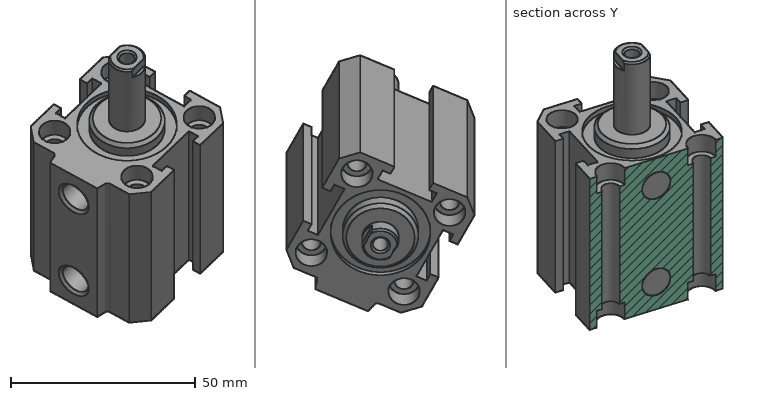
import cadquery as cq


BODY_WIDTH = 41.0
BODY_HEIGHT = 50.5
CORNER_CHAMFER = 4.3
HALF_WIDTH = BODY_WIDTH / 2

OVERALL_DEPTH = 44.5
BOSS_PROJECTION = OVERALL_DEPTH - BODY_WIDTH
BOSS_ROOT_HALF_WIDTH = 8.85
BOSS_FACE_HALF_WIDTH = 8.0
BOSS_ROOT_FILLET = 1.0
BOSS_FACE_Y = -HALF_WIDTH - BOSS_PROJECTION

SLOT_MOUTH_WIDTH = 11.7
SLOT_INNER_WIDTH = 16.4
SLOT_LIP = 2.5
SLOT_DEPTH = 5.6

MOUNT_HOLE_DIA = 5.3
MOUNT_HOLE_OFFSET = 14.0
COUNTERBORE_DIA = 8.5
COUNTERBORE_DEPTH = 5.6

RECESS_DIA = 27.1
RECESS_DEPTH = 1.6
COLLAR_DIA = 20.5
COLLAR_HEIGHT = 2.5
COLLAR_CHAMFER = 1.0

PORT_DIA = 8.6
PORT_MOUTH_CHAMFER = 0.8
PORT_DEPTH = 10.0
PORT_END_DISTANCE = 9.2

ROD_DIA = 10.0
ROD_LENGTH = 83.5
ROD_BOTTOM_EXTENSION = 6.5
ROD_BOTTOM_Z = -ROD_BOTTOM_EXTENSION
ROD_END_CHAMFER = 0.5
FLAT_WIDTH = 8.0
FLAT_LENGTH = 2.9
ROD_HOLE_DIA = 4.2
ROD_HOLE_MOUTH_DIA = 5.3
ROD_HOLE_MOUTH_ANGLE = 90
ROD_HOLE_DEPTH = 8.35


def both_ends(feature):
    """Return a bottom-end feature of the housing together with its mirror image at the top end."""
    top_copy = feature.mirror("XY").translate((0, 0, BODY_HEIGHT))
    return [feature, top_copy]


def main_block():
    return (
        cq.Workplane("XY")
        .rect(BODY_WIDTH, BODY_WIDTH)
        .extrude(BODY_HEIGHT)
        .edges("|Z")
        .chamfer(CORNER_CHAMFER)
    )


def add_boss(block):
    """Add the tapered port boss and round the two inside corners at its root."""
    boss = (
        cq.Workplane("XY")
        .moveTo(-BOSS_ROOT_HALF_WIDTH, -HALF_WIDTH)
        .lineTo(-BOSS_FACE_HALF_WIDTH, BOSS_FACE_Y)
        .lineTo(BOSS_FACE_HALF_WIDTH, BOSS_FACE_Y)
        .lineTo(BOSS_ROOT_HALF_WIDTH, -HALF_WIDTH)
        .lineTo(0, 0)
        .close()
        .extrude(BODY_HEIGHT)
    )
    margin = BOSS_ROOT_FILLET
    root_edges = cq.selectors.BoxSelector(
        (-BOSS_ROOT_HALF_WIDTH - margin, -HALF_WIDTH - margin, 0),
        (BOSS_ROOT_HALF_WIDTH + margin, -HALF_WIDTH + margin, BODY_HEIGHT),
    )
    return block.union(boss).edges("|Z").edges(root_edges).fillet(BOSS_ROOT_FILLET)


def t_slot():
    """T-slot cutter for the +Y side, running the full height."""
    mouth = cq.Workplane("XY").box(
        SLOT_MOUTH_WIDTH, SLOT_DEPTH, BODY_HEIGHT, centered=(True, False, False)
    )
    undercut = cq.Workplane("XY").box(
        SLOT_INNER_WIDTH, SLOT_DEPTH - SLOT_LIP, BODY_HEIGHT, centered=(True, False, False)
    )
    return mouth.union(undercut).translate((0, HALF_WIDTH - SLOT_DEPTH, 0))


def mounting_hole_pattern(diameter, depth):
    """Four corner cylinders rising from the bottom end face."""
    spacing = 2 * MOUNT_HOLE_OFFSET
    return (
        cq.Workplane("XY")
        .rect(spacing, spacing, forConstruction=True)
        .vertices()
        .circle(diameter / 2)
        .extrude(depth)
    )


def end_recess():
    """Round recess sunk into the bottom end face."""
    return cq.Workplane("XY").circle(RECESS_DIA / 2).extrude(RECESS_DEPTH)


def collar():
    """Collar standing on the recess floor and chamfered at its outer, lower end."""
    return (
        cq.Workplane("XY")
        .workplane(offset=RECESS_DEPTH)
        .circle(COLLAR_DIA / 2)
        .extrude(-RECESS_DEPTH - COLLAR_HEIGHT)
        .faces("<Z")
        .chamfer(COLLAR_CHAMFER)
    )


def port(height):
    """Blind port with a chamfered mouth, bored in +Y from the boss face."""
    mouth_radius = PORT_DIA / 2 + PORT_MOUTH_CHAMFER
    return (
        cq.Workplane("XY")
        .moveTo(0, 0)
        .lineTo(mouth_radius, 0)
        .lineTo(PORT_DIA / 2, PORT_MOUTH_CHAMFER)
        .lineTo(PORT_DIA / 2, PORT_DEPTH)
        .lineTo(0, PORT_DEPTH)
        .close()
        .revolve(360, (0, 0), (0, 1))
        .translate((0, BOSS_FACE_Y, height))
    )


def make_housing():
    housing = add_boss(main_block())
    for angle in (-90, 0, 90):
        housing = housing.cut(t_slot().rotate((0, 0, 0), (0, 0, 1), angle))

    housing = housing.cut(mounting_hole_pattern(MOUNT_HOLE_DIA, BODY_HEIGHT))
    for counterbores in both_ends(mounting_hole_pattern(COUNTERBORE_DIA, COUNTERBORE_DEPTH)):
        housing = housing.cut(counterbores)

    for recess in both_ends(end_recess()):
        housing = housing.cut(recess)
    for end_collar in both_ends(collar()):
        housing = housing.union(end_collar)

    for height in (PORT_END_DISTANCE, BODY_HEIGHT - PORT_END_DISTANCE):
        housing = housing.cut(port(height))

    rod_bore = cq.Workplane("XY").workplane(offset=ROD_BOTTOM_Z).circle(ROD_DIA / 2).extrude(ROD_LENGTH)
    return housing.cut(rod_bore)


def make_rod():
    """Plain rod with wrench flats and a countersunk blind hole at each end."""
    rod = (
        cq.Workplane("XY")
        .circle(ROD_DIA / 2)
        .extrude(ROD_LENGTH)
        .faces("<Z or >Z")
        .chamfer(ROD_END_CHAMFER)
    )

    cut_width = (ROD_DIA - FLAT_WIDTH) / 2
    for side in (-1, 1):
        for flat_z in (FLAT_LENGTH / 2, ROD_LENGTH - FLAT_LENGTH / 2):
            flat_x = side * (FLAT_WIDTH + cut_width) / 2
            flat = cq.Workplane("XY").box(cut_width, ROD_DIA, FLAT_LENGTH)
            rod = rod.cut(flat.translate((flat_x, 0, flat_z)))

    for end in ("<Z", ">Z"):
        rod = rod.faces(end).workplane(centerOption="CenterOfBoundBox").cskHole(
            ROD_HOLE_DIA, ROD_HOLE_MOUTH_DIA, ROD_HOLE_MOUTH_ANGLE, ROD_HOLE_DEPTH)
    return rod.translate((0, 0, ROD_BOTTOM_Z))


housing = make_housing()
rod = make_rod()
result = cq.Compound.makeCompound([housing.val(), rod.val()])